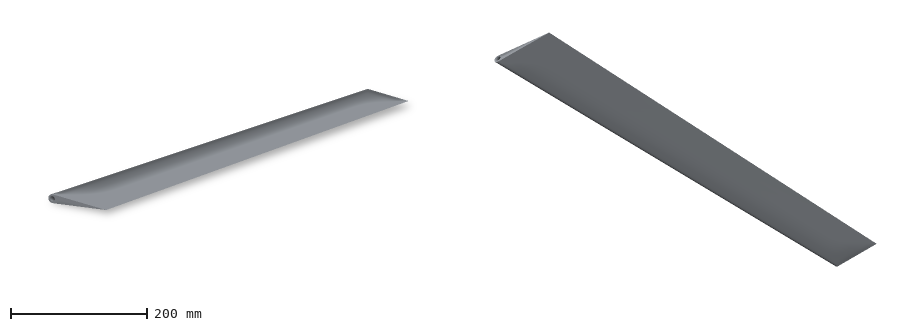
import cadquery as cq
import math

span = 602.0
overall_width = 273.0
sweep = 199.0
root_chord = 97.0
tip_chord = overall_width - sweep

root_nose_diameter = 14.0
tip_nose_diameter = 11.5
root_nose_radius = root_nose_diameter / 2
tip_nose_radius = tip_nose_diameter / 2
overall_height = 15.0
root_nose_z = root_nose_radius
tip_nose_z = overall_height - tip_nose_radius

root_trailing_drop = 1.0
tip_trailing_drop = 0.5

bore_diameter = 8.0


def section(y, leading_x, chord, radius, nose_z, trailing_drop):
    """Wedge profile: a nose arc with tangent flats meeting at the trailing edge."""
    reach = chord - radius
    nose_x = leading_x + radius
    trailing = (leading_x + chord, nose_z - trailing_drop)
    axis_angle = math.atan2(-trailing_drop, reach)
    tangent_angle = math.acos(radius / math.hypot(reach, trailing_drop))

    def on_nose(angle):
        return (nose_x + radius * math.cos(angle), nose_z + radius * math.sin(angle))

    return (
        cq.Workplane("XZ", origin=(0, y, 0))
        .moveTo(*trailing)
        .lineTo(*on_nose(axis_angle + tangent_angle))
        .threePointArc(on_nose(axis_angle + math.pi), on_nose(axis_angle - tangent_angle))
        .close()
        .val()
    )


def bore_section(x, y, z):
    center = cq.Vector(x, y, z)
    return cq.Wire.makeCircle(bore_diameter / 2, center, cq.Vector(0, 1, 0))


root = section(0, 0, root_chord, root_nose_radius, root_nose_z, root_trailing_drop)
tip = section(span, sweep, tip_chord, tip_nose_radius, tip_nose_z, tip_trailing_drop)
blade = cq.Solid.makeLoft([root, tip], True)

bore = cq.Solid.makeLoft(
    [
        bore_section(root_nose_radius, 0, root_nose_z),
        bore_section(sweep + tip_nose_radius, span, tip_nose_z),
    ],
    True,
)

result = cq.Workplane("XY").newObject([blade]).cut(cq.Workplane("XY").newObject([bore]))